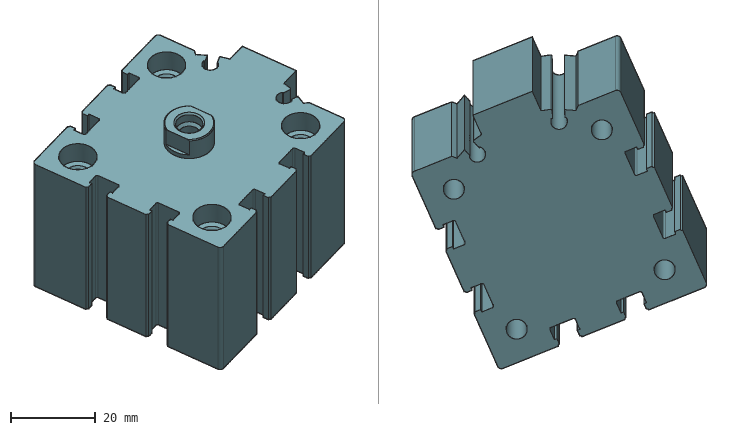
import cadquery as cq
import math

BLOCK_SIDE = 53.5
BLOCK_HEIGHT = 39.5
CORNER_RADIUS = 1.0
HALF_SIDE = BLOCK_SIDE / 2

OVERALL_LENGTH = 61.0
RIB_WIDTH = 15.25
RIB_BACK_Y = OVERALL_LENGTH - HALF_SIDE
RIB_FOOT_Y = 29.0

SLOT_FACE_ANGLES = (-90, 0, 90)
SLOT_OFFSET = 8.55
SLOT_DEPTH = 5.0
SLOT_LIP = 1.9
SLOT_NECK_WIDTH = 5.2
SLOT_INNER_WIDTH = 6.5
SLOT_EDGE_RADIUS = 0.4

GROOVE_X = 10.5
GROOVE_Y = 24.8
GROOVE_DIAMETER = 3.9
GROOVE_MOUTH_WIDTH = 2.9
GROOVE_SHELF = 0.85
GROOVE_TILT = 19.0
LIP_TIP_RADIUS = 0.3
RIB_LIP_TIP = (10.25, 28.3)
OUTER_LIP_TIP = (12.8, 27.1)
NOTCH_BOTTOM = (15.25, 25.8)
NOTCH_EDGE_X = 16.2

HOLE_OFFSET = 19.0
HOLE_DIAMETER = 4.95
HOLE_MOUTH_DIAMETER = 6.1
COUNTERBORE_DIAMETER = 9.0
COUNTERBORE_DEPTH = 5.75

ROD_DIAMETER = 12.0
ROD_PROTRUSION = 6.0
ROD_SEAT_DEPTH = 12.2
ROD_CHAMFER = 0.25
FLATS_WIDTH = 10.0
FLATS_HEIGHT = 4.75
ROD_TOP = BLOCK_HEIGHT + ROD_PROTRUSION
ROD_BOTTOM = BLOCK_HEIGHT - ROD_SEAT_DEPTH

BORE_MOUTH_DIAMETER = 7.25
RELIEF_DIAMETER = 6.4
RELIEF_DEPTH = 2.7
BORE_DIAMETER = 4.95
BORE_DEPTH = 12.0
DRILL_POINT_ANGLE = 118.0


def mirrored(points):
    """The same points on the other side of the YZ plane, in reverse order."""
    return [(-x, y) for x, y in reversed(points)]


def make_profile():
    """Block and rib as one prism, with the lips and notches beside the sensor grooves."""
    half_rib = RIB_WIDTH / 2
    right_edge = [
        (HALF_SIDE, -HALF_SIDE),
        (HALF_SIDE, HALF_SIDE),
        (NOTCH_EDGE_X, HALF_SIDE),
        NOTCH_BOTTOM,
        OUTER_LIP_TIP,
        RIB_LIP_TIP,
        (half_rib, RIB_FOOT_Y),
        (half_rib, RIB_BACK_Y),
    ]
    outline = right_edge + mirrored(right_edge)
    prism = cq.Workplane("XY").polyline(outline).close().extrude(BLOCK_HEIGHT)
    return prism.edges("|Z").edges("<X or >X").fillet(CORNER_RADIUS)


def make_t_slot():
    """T-slot cutter in the front face at X = 0, running the full height, with rounded edges."""
    half_neck = SLOT_NECK_WIDTH / 2
    neck = (
        cq.Workplane("XY")
        .moveTo(half_neck + SLOT_EDGE_RADIUS, 0)
        .radiusArc((half_neck, SLOT_EDGE_RADIUS), -SLOT_EDGE_RADIUS)
        .lineTo(half_neck, SLOT_DEPTH)
        .lineTo(-half_neck, SLOT_DEPTH)
        .lineTo(-half_neck, SLOT_EDGE_RADIUS)
        .radiusArc((-half_neck - SLOT_EDGE_RADIUS, 0), -SLOT_EDGE_RADIUS)
        .close()
        .extrude(BLOCK_HEIGHT)
    )
    inner_depth = SLOT_DEPTH - SLOT_LIP
    inner = cq.Workplane("XY").box(
        SLOT_INNER_WIDTH, inner_depth, BLOCK_HEIGHT, centered=(True, False, False)
    )
    inner = inner.edges("|Z and >Y").fillet(SLOT_EDGE_RADIUS)
    inner = inner.translate((0, SLOT_LIP, 0))
    return neck.union(inner).translate((0, -HALF_SIDE, 0))


def make_sensor_groove():
    """Round groove with a narrower slanted mouth, on the +X side of the rib."""
    radius = GROOVE_DIAMETER / 2
    shelf_half_width = math.sqrt(radius**2 - GROOVE_SHELF**2)
    round_part = (
        cq.Workplane("XY")
        .moveTo(-shelf_half_width, GROOVE_SHELF)
        .threePointArc((0, -radius), (shelf_half_width, GROOVE_SHELF))
        .close()
        .extrude(BLOCK_HEIGHT)
    )
    mouth = cq.Workplane("XY").box(
        GROOVE_MOUTH_WIDTH, GROOVE_DIAMETER, BLOCK_HEIGHT, centered=(True, False, False)
    )
    groove = round_part.union(mouth).rotate((0, 0, 0), (0, 0, 1), -GROOVE_TILT)
    return groove.translate((GROOVE_X, GROOVE_Y, 0))


def round_rib_lips(housing):
    """Round the tips of the lips that overhang the sensor grooves from the rib."""
    reach_x, tip_y = RIB_LIP_TIP
    tips = cq.selectors.BoxSelector(
        (-reach_x - LIP_TIP_RADIUS, tip_y - LIP_TIP_RADIUS, 0),
        (reach_x + LIP_TIP_RADIUS, tip_y + LIP_TIP_RADIUS, BLOCK_HEIGHT),
    )
    return housing.edges("|Z").edges(tips).fillet(LIP_TIP_RADIUS)


def make_mounting_holes():
    """Four through holes with a chamfered mouth at the bottom of a counterbore."""
    floor_z = BLOCK_HEIGHT - COUNTERBORE_DEPTH
    hole_radius = HOLE_DIAMETER / 2
    mouth_radius = HOLE_MOUTH_DIAMETER / 2
    half_section = [
        (0, 0),
        (hole_radius, 0),
        (hole_radius, floor_z - (mouth_radius - hole_radius)),
        (mouth_radius, floor_z),
        (COUNTERBORE_DIAMETER / 2, floor_z),
        (COUNTERBORE_DIAMETER / 2, BLOCK_HEIGHT),
        (0, BLOCK_HEIGHT),
    ]
    hole = cq.Workplane("XZ").polyline(half_section).close().revolve(360, (0, 0), (0, 1)).val()
    spacing = 2 * HOLE_OFFSET
    centres = cq.Workplane("XY").rarray(spacing, spacing, 2, 2)
    return centres.eachpoint(lambda place: hole.moved(place))


def rod_cylinder(length):
    """Plain cylinder of the rod's diameter, rising from the bottom of the rod seat."""
    start = cq.Workplane("XY").workplane(offset=ROD_BOTTOM)
    return start.circle(ROD_DIAMETER / 2).extrude(length)


def make_housing():
    """Profiled block with all slots, grooves and holes, and the seat for the rod."""
    housing = make_profile()
    slot = make_t_slot()
    for face_angle in SLOT_FACE_ANGLES:
        for offset in (-SLOT_OFFSET, SLOT_OFFSET):
            placed = slot.translate((offset, 0, 0)).rotate((0, 0, 0), (0, 0, 1), face_angle)
            housing = housing.cut(placed)
    groove = make_sensor_groove()
    housing = housing.cut(groove).cut(groove.mirror("YZ"))
    housing = round_rib_lips(housing)
    housing = housing.cut(make_mounting_holes())
    return housing.cut(rod_cylinder(ROD_SEAT_DEPTH))


def make_rod_bore():
    """Bore cutter: chamfered mouth, relief, 45 degree step, core bore and drill point."""
    mouth_radius = BORE_MOUTH_DIAMETER / 2
    relief_radius = RELIEF_DIAMETER / 2
    bore_radius = BORE_DIAMETER / 2
    relief_floor = ROD_TOP - RELIEF_DEPTH
    bore_floor = ROD_TOP - BORE_DEPTH
    point_depth = bore_radius / math.tan(math.radians(DRILL_POINT_ANGLE / 2))
    half_section = [
        (0, ROD_TOP),
        (mouth_radius, ROD_TOP),
        (relief_radius, ROD_TOP - (mouth_radius - relief_radius)),
        (relief_radius, relief_floor),
        (bore_radius, relief_floor - (relief_radius - bore_radius)),
        (bore_radius, bore_floor),
        (0, bore_floor - point_depth),
    ]
    return cq.Workplane("XZ").polyline(half_section).close().revolve(360, (0, 0), (0, 1))


def make_rod():
    """Rod with a chamfered end, two wrench flats facing front and back, and the end bore."""
    length = ROD_PROTRUSION + ROD_SEAT_DEPTH
    rod = rod_cylinder(length).faces(">Z").chamfer(ROD_CHAMFER)
    across_flats = (
        cq.Workplane("XY")
        .workplane(offset=ROD_TOP - FLATS_HEIGHT)
        .rect(ROD_DIAMETER, FLATS_WIDTH)
        .extrude(FLATS_HEIGHT)
    )
    shank = rod_cylinder(length - FLATS_HEIGHT)
    return rod.intersect(across_flats.union(shank)).cut(make_rod_bore())


housing = make_housing()
rod = make_rod()
result = cq.Compound.makeCompound([housing.val(), rod.val()])